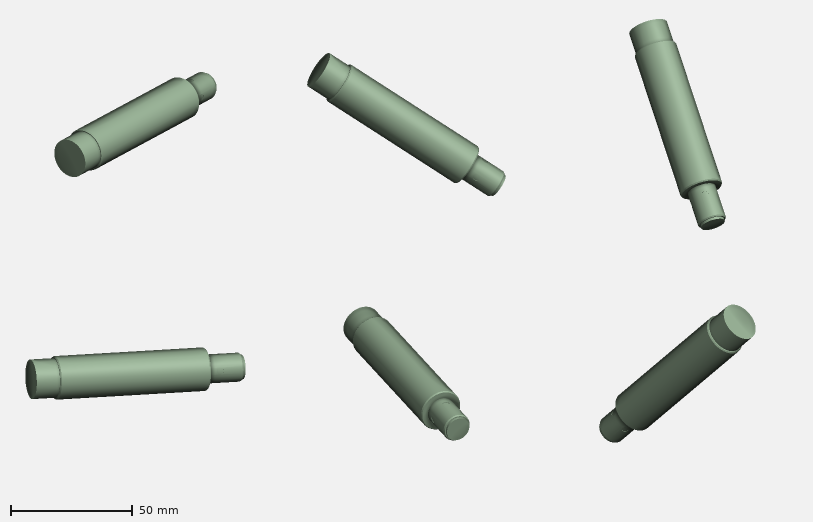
import cadquery as cq

total_length = 91.0
nose_length = 10.0
body_length = 65.0
tip_length = 1.0
body_end = nose_length + body_length
plug_end = total_length - tip_length

nose_diameter = 16.4
body_diameter = 18.0
plug_diameter = 12.0
tip_diameter = 10.3

bevel_length = 0.55
bevel_depth = 0.4

window_diameter = 2.9
window_depth = 0.2
window_from_end = 11.3
window_count = 4


def turned_shaft():
    """Stepped shaft revolved about Y, with its nose at Y = 0."""
    nose_radius = nose_diameter / 2
    body_radius = body_diameter / 2
    plug_radius = plug_diameter / 2
    tip_radius = tip_diameter / 2
    outline = [
        (0, 0),
        (nose_radius, 0),
        (nose_radius, nose_length),
        (body_radius - bevel_depth, nose_length),
        (body_radius, nose_length + bevel_length),
        (body_radius, body_end - bevel_length),
        (body_radius - bevel_depth, body_end),
        (plug_radius, body_end),
        (plug_radius, plug_end - bevel_length),
        (plug_radius - bevel_depth, plug_end),
        (tip_radius, plug_end),
        (tip_radius, total_length),
        (0, total_length),
    ]
    return cq.Workplane("XY").polyline(outline).close().revolve(360, (0, 0, 0), (0, 1, 0))


def window_cutter():
    """Round cutter on the +Z side whose floor follows the plug's curvature."""
    center_y = total_length - window_from_end
    floor_diameter = plug_diameter - 2 * window_depth
    pin = cq.Workplane("XY").center(0, center_y).circle(window_diameter / 2).extrude(plug_diameter)
    core = (
        cq.Workplane("XZ", origin=(0, center_y, 0))
        .circle(floor_diameter / 2)
        .extrude(window_diameter, both=True)
    )
    return pin.cut(core)


result = turned_shaft()
cutter = window_cutter()
for index in range(window_count):
    angle = index * 360 / window_count
    result = result.cut(cutter.rotate((0, 0, 0), (0, 1, 0), angle))

result = result.translate((0, -total_length / 2, 0))